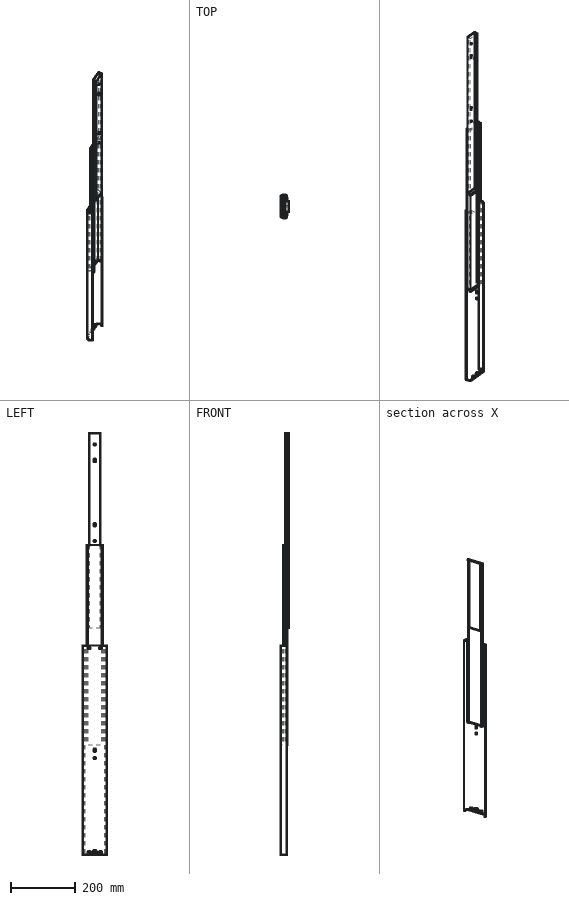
import cadquery as cq
import math


total_height = 1310.0
outer_length = 650.0
middle_bottom = 341.0
middle_top = 962.0
inner_bottom = 705.0

outer_half_width = 74.93 / 2
outer_sheet = 3.0
race_x = 12.0
race_radius = 9.0
corner_radius = 5.0
wall_tilt = math.radians(65.5)
race_start_tilt = math.radians(69.5)
race_end_tilt = math.radians(163)

middle_back = 7.0
middle_front = 22.0
middle_half_width = 25.9
middle_web = 3.0
middle_leg = 4.5

inner_back = 14.5
inner_front = 26.0
inner_half_width = 17.6

groove_centre_offset = 2.5
middle_groove_x = race_x
middle_groove_radius = 4.5
inner_groove_x = 19.0
inner_groove_radius = 3.8

cage_sheet = 1.5
cage_clearance = 0.5
outer_cage_front = 9.0
outer_cage_half_width = 28.5
inner_cage_front = 13.0
inner_cage_half_width = 19.75

hole_diameter = 5.0
slot_length = 10.0
outer_hole_z = 300.0
outer_slot_z = outer_length / 2
end_inset = 8.0
end_slot_length = 8.0
end_slot_y = 17.75
counterbore_diameter = 13.0
counterbore_depth = outer_sheet / 2

inner_hole_drops = (35.0, 335.0)
inner_slot_drops = (85.0, 285.0)

ALONG_Y = 0
ALONG_Z = 90



def bar(back, front, half_width, bottom, top):
    """Rectangular bar centred on Y = 0."""
    return (
        cq.Workplane("XY", origin=(back, 0, bottom))
        .box(front - back, 2 * half_width, top - bottom, centered=(False, True, False))
    )


def channel(back, front, half_width, web, leg, bottom, top):
    """U channel with its web at X = back and its legs pointing to +X."""
    cavity = bar(back + web, front, half_width - leg, bottom, top)
    return bar(back, front, half_width, bottom, top).cut(cavity)


def ball_grooves(x, half_width, radius, bottom, top):
    """Round cutters for the grooves in both sides of a rail."""
    y = half_width + groove_centre_offset
    return (
        cq.Workplane("XY", origin=(0, 0, bottom))
        .pushPoints([(x, y), (x, -y)])
        .circle(radius)
        .extrude(top - bottom)
    )


def round_cutter(back, depth, z, diameter):
    """Round cutter along X, on the centre line of a rail."""
    return cq.Workplane("YZ", origin=(back, 0, z)).circle(diameter / 2).extrude(depth)


def slot_cutter(back, depth, y, z, length, direction):
    """Slotted cutter along X."""
    return (
        cq.Workplane("YZ", origin=(back, y, z))
        .slot2D(length, hole_diameter, direction)
        .extrude(depth)
    )



def on_circle(centre, radius, tilt):
    """Point of a circle whose outward normal is turned by tilt from -X towards +Y."""
    return (centre[0] - radius * math.cos(tilt), centre[1] + radius * math.sin(tilt))


def arc_points(centre, radius, start, end):
    """First, middle and last point of an arc."""
    return [on_circle(centre, radius, tilt) for tilt in (start, (start + end) / 2, end)]


def side_points(inset):
    """Corner arc and race arc of the +Y side, set in from the outer surface."""
    race_centre = (race_x, outer_half_width - race_radius)
    wall_end_x, wall_end_y = on_circle(race_centre, race_radius, race_start_tilt)
    wall_foot_y = wall_end_y - wall_end_x / math.tan(wall_tilt)
    corner_y = wall_foot_y - corner_radius * math.tan(wall_tilt / 2)
    corner = arc_points((corner_radius, corner_y), corner_radius - inset, 0, wall_tilt)
    race = arc_points(race_centre, race_radius - inset, race_start_tilt, race_end_tilt)
    return corner + race


def mirrored(points):
    """The points reflected in the XZ plane."""
    return [(x, -y) for x, y in points]


def trace_side(sketch, points):
    """Draw on to the first point, then arc, straight wall, arc."""
    return (
        sketch.lineTo(*points[0])
        .threePointArc(points[1], points[2])
        .lineTo(*points[3])
        .threePointArc(points[4], points[5])
    )


def make_outer_profile():
    outside = side_points(0)
    inside = side_points(outer_sheet)
    sketch = cq.Workplane("XY").moveTo(0, 0)
    sketch = trace_side(sketch, outside)
    sketch = trace_side(sketch, inside[::-1])
    sketch = trace_side(sketch, mirrored(inside))
    sketch = trace_side(sketch, mirrored(outside)[::-1])
    return sketch.close().extrude(outer_length)


def make_outer_rail():
    rail = make_outer_profile()
    for z in (outer_hole_z, end_inset):
        rail = rail.cut(round_cutter(0, outer_sheet, z, hole_diameter))
    rail = rail.cut(round_cutter(0, counterbore_depth, end_inset, counterbore_diameter))
    rail = rail.cut(slot_cutter(0, outer_sheet, 0, outer_slot_z, slot_length, ALONG_Z))
    for z in (end_inset, outer_length - end_inset):
        for y in (-end_slot_y, end_slot_y):
            rail = rail.cut(slot_cutter(0, outer_sheet, y, z, end_slot_length, ALONG_Y))
    return rail



def make_middle_rail():
    ends = (middle_bottom, middle_top)
    rail = channel(middle_back, middle_front, middle_half_width, middle_web, middle_leg, *ends)
    return rail.cut(ball_grooves(middle_groove_x, middle_half_width, middle_groove_radius, *ends))



def make_inner_rail():
    ends = (inner_bottom, total_height)
    depth = inner_front - inner_back
    rail = bar(inner_back, inner_front, inner_half_width, *ends)
    rail = rail.cut(ball_grooves(inner_groove_x, inner_half_width, inner_groove_radius, *ends))
    for drop in inner_hole_drops:
        rail = rail.cut(round_cutter(inner_back, depth, total_height - drop, hole_diameter))
    for drop in inner_slot_drops:
        z = total_height - drop
        rail = rail.cut(slot_cutter(inner_back, depth, 0, z, slot_length, ALONG_Z))
    return rail



def make_cage(web_front, front, half_width, bottom, top):
    """Cage just in front of a rail's web, over the length where two rails overlap."""
    back = web_front + cage_clearance
    return channel(back, front, half_width, cage_sheet, cage_sheet, bottom, top)


outer_rail = make_outer_rail()
middle_rail = make_middle_rail()
inner_rail = make_inner_rail()
outer_cage = make_cage(
    outer_sheet, outer_cage_front, outer_cage_half_width, middle_bottom, outer_length
)
inner_cage = make_cage(
    middle_back + middle_web, inner_cage_front, inner_cage_half_width, inner_bottom, middle_top
)

bodies = [outer_rail, middle_rail, inner_rail, outer_cage, inner_cage]
result = cq.Compound.makeCompound([body.solids().val() for body in bodies])